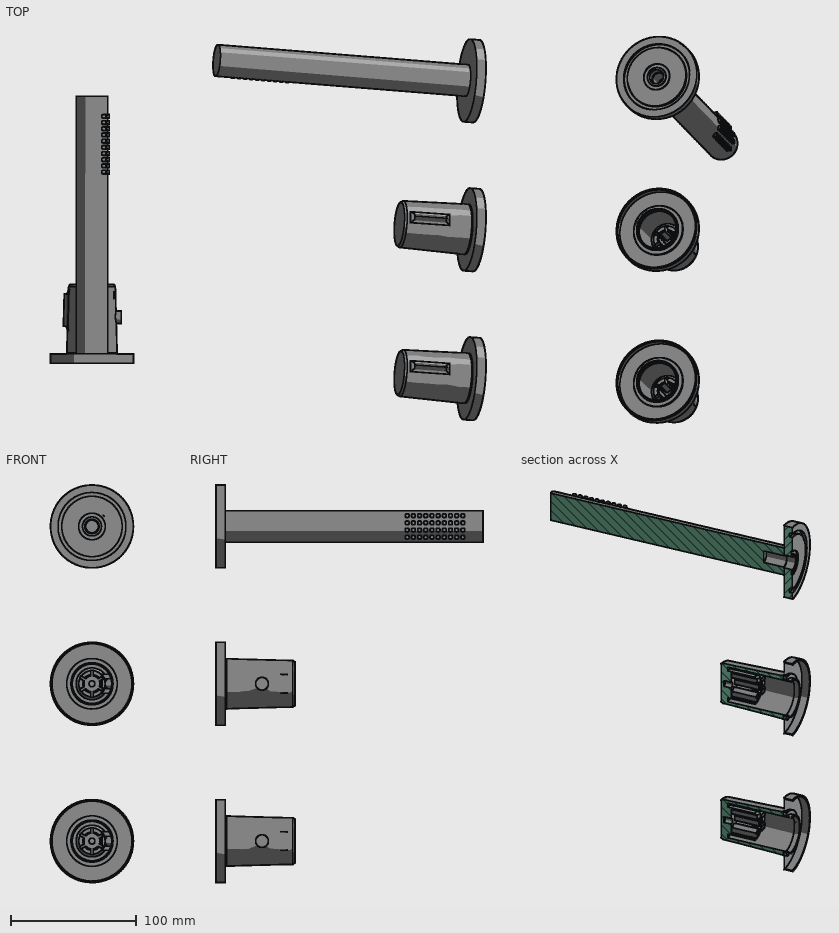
import cadquery as cq
import math

flange_diameter = 66.0
flange_thickness = 7.5
overall_height = 316.0
axis_pitch = (overall_height - flange_diameter) / 2
shower_height = axis_pitch
valve_heights = [0.0, -axis_pitch]

groove_outer_diameter = 54.0
groove_inner_diameter = 48.0
groove_depth = 2.5
inlet_groove_outer_diameter = 21.2
inlet_groove_inner_diameter = 15.2
inlet_groove_depth = 1.0
inlet_diameter = 11.5

wand_diameter = 25.3
wand_end = 212.5
wand_bore_diameter = 10.0
wand_bore_end = 25.3
nozzle_diameter = 3.2
nozzle_root = 6.3
nozzle_rows = 10
nozzle_first_row = 152.0
nozzle_last_row = 196.2
nozzle_pitch = (nozzle_last_row - nozzle_first_row) / (nozzle_rows - 1)
inner_column_offset = 3.0
inner_column_tip = 14.0
outer_column_offset = 8.5
outer_column_tip = 11.0

recess_diameter = 63.5
recess_depth = 6.5
hub_diameter = 40.0
hub_front = 4.7
hub_back = 8.5
lip_diameter = 33.5
lip_front = 1.3
spigot_front = 5.7

handle_end = 63.0
handle_base_diameter = hub_diameter
handle_tip_diameter = 37.3
tip_chamfer_length = 2.0
tip_chamfer_width = 1.3
cavity_diameter = 31.3
cavity_end = 57.0
taper_angle = math.degrees(math.atan2(
    (handle_base_diameter - handle_tip_diameter) / 2,
    handle_end - tip_chamfer_length - hub_back,
))

post_diameter = 25.3
post_front = 31.5
post_chamfer_width = 2.2
post_chamfer_length = 1.5
socket_diameter = 12.5
socket_end = 53.7
socket_rim_diameter = 14.5
socket_rim_depth = 1.0
spline_count = 6
spline_width = 2.2
spline_diameter = 21.5
screw_hole_diameter = 4.7
screw_hole_end = 60.0

pin_diameter = 10.0
pin_place = 36.5
pin_root = 8.2
pin_tip = 23.5
boss_width = 15.0
boss_front = 31.0
boss_end = 17.5
boss_notch_width = 8.0

bar_front = 26.2
bar_length = 32.2
bar_width = 9.2
bar_bottom = 16.7
bar_shoulder = 19.0
bar_border_rise = 1.3
ridge_width = 4.7
ridge_rise = 2.2
ridge_end_inset = 3.2


def rod(diameter, start, end):
    """Cylinder about the Y axis between two Y positions."""
    return cq.Workplane("XZ", origin=(0, start, 0)).circle(diameter / 2).extrude(start - end)


def ring(outer_diameter, inner_diameter, start, end):
    """Hollow cylinder about the Y axis between two Y positions."""
    return rod(outer_diameter, start, end).cut(rod(inner_diameter, start, end))


def turned(outline):
    """Solid of revolution about the Y axis from (radius, Y) points."""
    return cq.Workplane("XY").polyline(outline).close().revolve(360, (0, 0, 0), (0, 1, 0))


def make_shower_flange():
    flange = rod(flange_diameter, 0, flange_thickness)
    flange = flange.cut(ring(groove_outer_diameter, groove_inner_diameter, 0, groove_depth))
    flange = flange.cut(
        ring(inlet_groove_outer_diameter, inlet_groove_inner_diameter, 0, inlet_groove_depth)
    )
    return flange.cut(rod(inlet_diameter, 0, flange_thickness))


def make_nozzle(place, offset, tip):
    """Short peg along +X that stands out of the side of the wand."""
    nozzle = cq.Workplane("YZ", origin=(nozzle_root, place, offset)).circle(nozzle_diameter / 2)
    return nozzle.extrude(tip - nozzle_root)


def make_wand():
    """Round bar with a bore at the flange and four columns of nozzles near its far end."""
    wand = rod(wand_diameter, flange_thickness, wand_end)
    wand = wand.cut(rod(wand_bore_diameter, flange_thickness, wand_bore_end))
    columns = [(inner_column_offset, inner_column_tip), (outer_column_offset, outer_column_tip)]
    for row in range(nozzle_rows):
        place = nozzle_first_row + row * nozzle_pitch
        for offset, tip in columns:
            wand = wand.union(make_nozzle(place, offset, tip))
            wand = wand.union(make_nozzle(place, -offset, tip))
    return wand


def make_valve_flange():
    """Dished disc with a hub, a lip in front and a socket behind for the handle spigot."""
    flange = rod(flange_diameter, 0, flange_thickness)
    flange = flange.cut(rod(recess_diameter, 0, recess_depth))
    flange = flange.union(rod(hub_diameter, hub_front, hub_back))
    flange = flange.union(rod(lip_diameter, lip_front, hub_front))
    flange = flange.cut(rod(cavity_diameter, lip_front, hub_back))
    return flange.cut(rod(lip_diameter, spigot_front, hub_back))


def make_pin():
    pin = cq.Workplane("YZ", origin=(pin_root, pin_place, 0)).circle(pin_diameter / 2)
    return pin.extrude(pin_tip - pin_root)


def make_bar():
    """Bar with sloped borders and a gabled ridge, tilted to follow the handle taper."""
    middle = bar_front + bar_length / 2
    ridge_length = bar_length - 2 * ridge_end_inset
    ridge_base = bar_shoulder + bar_border_rise
    base = cq.Workplane("YZ", origin=(-bar_bottom, middle, 0)).rect(bar_length, bar_width)
    base = base.extrude(bar_bottom - bar_shoulder)
    border = cq.Workplane("YZ", origin=(-bar_shoulder, middle, 0)).rect(bar_length, bar_width)
    border = border.workplane(offset=-bar_border_rise).rect(ridge_length, ridge_width).loft()
    ridge = cq.Workplane("XZ", origin=(0, bar_front + ridge_end_inset, 0)).polyline([
        (-ridge_base, -ridge_width / 2),
        (-ridge_base - ridge_rise, 0),
        (-ridge_base, ridge_width / 2),
    ])
    ridge = ridge.close().extrude(-ridge_length)
    bar = base.union(border).union(ridge)
    return bar.rotate((-bar_shoulder, middle, 0), (-bar_shoulder, middle, 1), -taper_angle)


def make_shell():
    """Tapered hollow grip with a spigot at its open end."""
    base_radius = handle_base_diameter / 2
    tip_radius = handle_tip_diameter / 2
    grip = turned([
        (0, hub_back),
        (base_radius, hub_back),
        (tip_radius, handle_end - tip_chamfer_length),
        (tip_radius - tip_chamfer_width, handle_end),
        (0, handle_end),
    ])
    spigot = rod(lip_diameter, spigot_front, hub_back)
    return grip.union(spigot).cut(rod(cavity_diameter, spigot_front, cavity_end))


def make_post():
    radius = post_diameter / 2
    return turned([
        (0, post_front),
        (radius - post_chamfer_width, post_front),
        (radius, post_front + post_chamfer_length),
        (radius, cavity_end),
        (0, cavity_end),
    ])


def make_boss():
    """Block between the post and the shell, notched open in front of the pin."""
    depth = cavity_end - boss_front
    length = boss_end - pin_root
    corner = (False, False, True)
    boss = cq.Workplane("XY").box(length, depth, boss_width, centered=corner)
    notch = cq.Workplane("XY").box(length, pin_place - boss_front, boss_notch_width, centered=corner)
    return boss.cut(notch).translate((pin_root, boss_front, 0))


def make_socket():
    """Tool that cuts the splined socket and its screw hole."""
    socket = rod(socket_diameter, post_front, socket_end)
    socket = socket.union(rod(socket_rim_diameter, boss_front, post_front + socket_rim_depth))
    socket = socket.union(rod(screw_hole_diameter, socket_end, screw_hole_end))
    spline_length = socket_end - post_front
    spline = cq.Workplane("XY").box(
        spline_diameter, spline_length, spline_width, centered=(True, False, True)
    )
    spline = spline.translate((0, post_front, 0))
    for i in range(spline_count // 2):
        angle = 90 + i * 360 / spline_count
        socket = socket.union(spline.rotate((0, 0, 0), (0, 1, 0), angle))
    return socket


def make_handle(pin, bar):
    handle = make_shell().union(make_post()).union(make_boss())
    return handle.cut(make_socket()).cut(pin).cut(bar)


def placed(body, height):
    return body.translate((0, 0, height)).solids().val()


bodies = [
    placed(make_shower_flange(), shower_height),
    placed(make_wand(), shower_height),
]

valve_flange = make_valve_flange()
pin = make_pin()
bar = make_bar()
handle = make_handle(pin, bar)
for height in valve_heights:
    for valve_body in (valve_flange, handle, pin, bar):
        bodies.append(placed(valve_body, height))

result = cq.Compound.makeCompound(bodies)